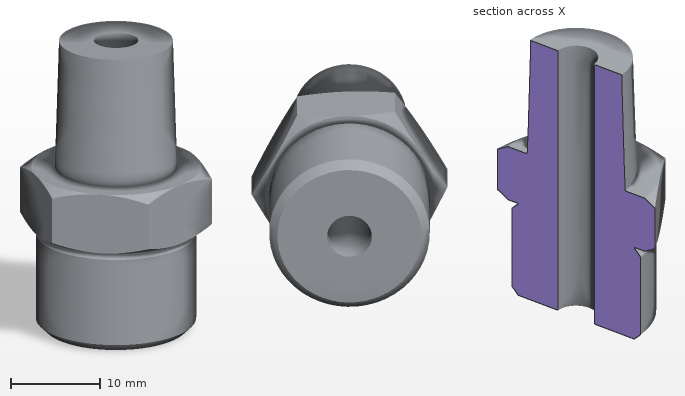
import cadquery as cq
import math

straight_diameter = 18.0
straight_length = 12.0
straight_chamfer = 0.92
hex_sides = 6
hex_across_flats = 19.0
hex_height = 7.0
hex_chamfer_angle = 30.0
taper_length = 15.0
taper_tip_diameter = 12.78
taper_ratio = 1 / 16
bore_diameter = 5.0

hex_across_corners = hex_across_flats / math.cos(math.pi / hex_sides)
hex_top = straight_length + hex_height
total_height = hex_top + taper_length
taper_base_diameter = taper_tip_diameter + taper_length * taper_ratio


def straight_end():
    """Cylindrical end, chamfered at its mouth and where it meets the hexagon."""
    cylinder = cq.Workplane("XY").circle(straight_diameter / 2).extrude(straight_length)
    return cylinder.edges("%CIRCLE").chamfer(straight_chamfer)


def hex_collar():
    """Hexagon with flats facing +/-X, its corners turned off conically at both ends."""
    flat_radius = hex_across_flats / 2
    corner_radius = hex_across_corners / 2
    corner_drop = (corner_radius - flat_radius) * math.tan(math.radians(hex_chamfer_angle))
    prism = (
        cq.Workplane("XY", origin=(0, 0, straight_length))
        .transformed(rotate=(0, 0, 90))
        .polygon(hex_sides, hex_across_corners)
        .extrude(hex_height)
    )
    turned_envelope = (
        cq.Workplane("XZ")
        .moveTo(0, straight_length)
        .lineTo(flat_radius, straight_length)
        .lineTo(corner_radius, straight_length + corner_drop)
        .lineTo(corner_radius, hex_top - corner_drop)
        .lineTo(flat_radius, hex_top)
        .lineTo(0, hex_top)
        .close()
        .revolve(360, (0, 0, 0), (0, 1, 0))
    )
    return prism.intersect(turned_envelope)


def tapered_end():
    """Conical pipe end that narrows upwards from the hexagon."""
    return (
        cq.Workplane("XZ")
        .moveTo(0, hex_top)
        .lineTo(taper_base_diameter / 2, hex_top)
        .lineTo(taper_tip_diameter / 2, total_height)
        .lineTo(0, total_height)
        .close()
        .revolve(360, (0, 0, 0), (0, 1, 0))
    )


def through_bore():
    """Straight bore along the whole axis."""
    return cq.Workplane("XY").circle(bore_diameter / 2).extrude(total_height)


result = straight_end().union(hex_collar()).union(tapered_end()).cut(through_bore())